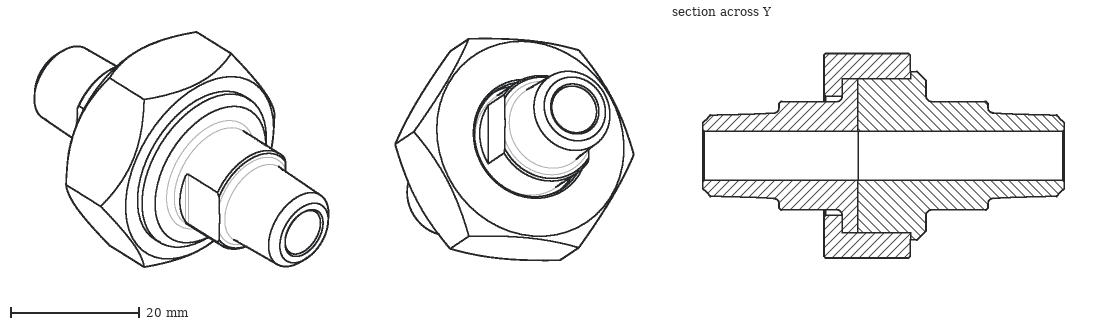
import cadquery as cq
import math

LENGTH = 56.5
NUT_START = 18.9
NUT_END = 32.45
SEAL_X = 24.3

BORE_DIAMETER = 7.5
BORE_CHAMFER = 0.3
SPIGOT_TIP_RADIUS = 6.4
TIP_CHAMFER = 1.25
TAPER_END = 11.1
TAPER_SLOPE = 1 / 32
COLLAR_RADIUS = 17.0 / 2
ROOT_FILLET = 0.85
COLLAR_CHAMFER = 0.35
FLAT_HALF_WIDTH = 7.05
FLAT_END_X = 37.1
FLAT_END_FILLET = 0.35

NUT_ACROSS_FLATS = 32.0
NUT_FACE_DIAMETER = 31.4
NUT_BORE_DIAMETER = 18.5
NUT_BORE_CHAMFER = 0.35
NUT_LIP = 2.8
THREAD_DIAMETER = 24.1

SHOULDER_RADIUS = 26.4 / 2
SHOULDER_FACE_RADIUS = 23.5 / 2
SHOULDER_END = 34.9

TAPER_END_RADIUS = SPIGOT_TIP_RADIUS + (TAPER_END - TIP_CHAMFER) * TAPER_SLOPE
COLLAR_START = TAPER_END + ROOT_FILLET
SHOULDER_CHAMFER = SHOULDER_RADIUS - SHOULDER_FACE_RADIUS
THREAD_RADIUS = THREAD_DIAMETER / 2
LIP_END = NUT_START + NUT_LIP
NUT_CORNER_RADIUS = NUT_ACROSS_FLATS / math.sqrt(3)
FLANGE_FILLET = NUT_BORE_DIAMETER / 2 - COLLAR_RADIUS


def cylinder(radius, start, end):
    return cq.Workplane("YZ").workplane(offset=start).circle(radius).extrude(end - start)


def revolve_about_x(outline):
    return outline.close().revolve(360, (0, 0, 0), (1, 0, 0))


def concave_arc(outline, center, radius, end, direction):
    """Quarter arc passing through the point lying diagonally from its center."""
    reach = radius * math.sqrt(0.5)
    middle = (center[0] + direction[0] * reach, center[1] + direction[1] * reach)
    return outline.threePointArc(middle, end)


def make_blank(base_x, base_fillet):
    """Tapered spigot, collar and base fillet, with the tip at X = 0."""
    outline = (
        cq.Workplane("XY")
        .lineTo(0, SPIGOT_TIP_RADIUS - TIP_CHAMFER)
        .lineTo(TIP_CHAMFER, SPIGOT_TIP_RADIUS)
        .lineTo(TAPER_END, TAPER_END_RADIUS)
    )
    root_top = TAPER_END_RADIUS + ROOT_FILLET
    outline = concave_arc(outline, (TAPER_END, root_top), ROOT_FILLET, (COLLAR_START, root_top), (1, -1))
    outline = (
        outline
        .lineTo(COLLAR_START, COLLAR_RADIUS - COLLAR_CHAMFER)
        .lineTo(COLLAR_START + COLLAR_CHAMFER, COLLAR_RADIUS)
        .lineTo(base_x - base_fillet, COLLAR_RADIUS)
    )
    base_top = COLLAR_RADIUS + base_fillet
    outline = concave_arc(outline, (base_x - base_fillet, base_top), base_fillet, (base_x, base_top), (1, -1))
    return revolve_about_x(outline.lineTo(base_x, 0))


def flat_cutters(start, end):
    """Two blocks that leave wrench flats facing +Y and -Y."""
    depth = COLLAR_RADIUS
    block = cq.Workplane("XY").box(
        end - start, depth, 2 * COLLAR_RADIUS, centered=(False, False, True)
    ).translate((start, FLAT_HALF_WIDTH, 0))
    return block, block.mirror("XZ")


def bore_cutter(tip_x, inner_x):
    """Through bore with a small chamfer at the tip."""
    radius = BORE_DIAMETER / 2
    inward = math.copysign(BORE_CHAMFER, inner_x - tip_x)
    outline = (
        cq.Workplane("XY")
        .moveTo(tip_x, 0)
        .lineTo(tip_x, radius + BORE_CHAMFER)
        .lineTo(tip_x + inward, radius)
        .lineTo(inner_x, radius)
        .lineTo(inner_x, 0)
    )
    return revolve_about_x(outline)


def make_flanged_nipple():
    body = make_blank(LIP_END, FLANGE_FILLET)
    for cutter in flat_cutters(TAPER_END, NUT_START):
        body = body.cut(cutter)
    body = body.union(cylinder(THREAD_RADIUS, LIP_END, SEAL_X))
    return body.cut(bore_cutter(0, SEAL_X))


def make_threaded_nipple():
    body = make_blank(LENGTH - SHOULDER_END, ROOT_FILLET).mirror("YZ").translate((LENGTH, 0, 0))
    for cutter in flat_cutters(FLAT_END_X, LENGTH - TAPER_END):
        side = math.copysign(FLAT_HALF_WIDTH, cutter.val().Center().y)
        nearest_corner = cq.selectors.NearestToPointSelector((FLAT_END_X, side, 0))
        body = body.cut(cutter.edges("|Z").edges(nearest_corner).fillet(FLAT_END_FILLET))
    shoulder = cylinder(SHOULDER_RADIUS, NUT_END, SHOULDER_END).faces(">X").chamfer(SHOULDER_CHAMFER)
    body = body.union(shoulder).union(cylinder(THREAD_RADIUS, SEAL_X, NUT_END))
    return body.cut(bore_cutter(LENGTH, SEAL_X))


def make_union_nut():
    hexagon = (
        cq.Workplane("YZ").workplane(offset=NUT_START)
        .polygon(6, 2 * NUT_CORNER_RADIUS).extrude(NUT_END - NUT_START)
    )
    corner_chamfer = NUT_CORNER_RADIUS - NUT_FACE_DIAMETER / 2
    envelope = cylinder(NUT_CORNER_RADIUS, NUT_START, NUT_END).faces("<X or >X").chamfer(corner_chamfer)
    lip_bore = cylinder(NUT_BORE_DIAMETER / 2, NUT_START, LIP_END)
    nut = hexagon.intersect(envelope).cut(lip_bore)
    smallest_circle = cq.selectors.RadiusNthSelector(0)
    nut = nut.faces("<X").edges("%CIRCLE").edges(smallest_circle).chamfer(NUT_BORE_CHAMFER)
    return nut.cut(cylinder(THREAD_RADIUS, LIP_END, NUT_END))


flanged_nipple = make_flanged_nipple()
threaded_nipple = make_threaded_nipple()
union_nut = make_union_nut()

result = cq.Compound.makeCompound([flanged_nipple.val(), threaded_nipple.val(), union_nut.val()])